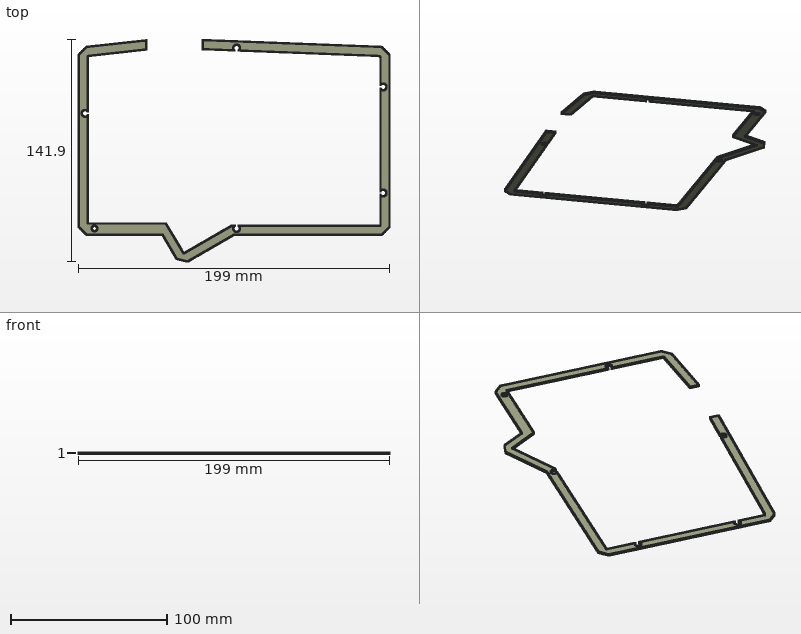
import cadquery as cq

length = 199.0
thickness = 1.0
wall = 6.0
corner_cut = 5.2
shoulder_height = 120.4
side_top = shoulder_height - wall

gap_left = 43.4
gap_right = 79.5
left_bar_top = 124.5
right_bar_top = 124.8

wide_wall = 7.4

bend_outer = [(53.7, 0), (62.7, -15.3), (69.6, -17.1), (99.3, 0)]
bend_inner = [(56.0, wide_wall), (67.3, -11.7), (98.0, wall)]

notch_diameter = 4.2
notch_inset = 4.2
middle_notch_x = 101.0
top_notch_y = 119.5
left_notch_y = 77.8
right_notch_heights = [26.9, 94.7]
hole_diameter = 3.4
hole_x = 10.1
hole_y = notch_inset
inner_corner_radius = 1.0


def frame():
    """Open frame: along the outer edge, then back along the inner edge."""
    outer = [
        (gap_left, left_bar_top),
        (corner_cut, shoulder_height),
        (0, shoulder_height - corner_cut),
        (0, corner_cut),
        (corner_cut, 0),
        *bend_outer,
        (length - corner_cut, 0),
        (length, corner_cut),
        (length, shoulder_height - corner_cut),
        (length - corner_cut, shoulder_height),
        (gap_right, right_bar_top),
    ]
    inner = [
        (gap_right, right_bar_top - wall),
        (length - wall, side_top),
        (length - wall, wall),
        *reversed(bend_inner),
        (wall, wide_wall),
        (wall, side_top),
        (gap_left, left_bar_top - wall),
    ]
    body = cq.Workplane("XY").polyline(outer + inner).close().extrude(thickness)
    corner = cq.selectors.NearestToPointSelector((length - wall, side_top, thickness / 2))
    return body.edges("|Z").edges(corner).fillet(inner_corner_radius)


def round_cutters(centres, diameter):
    """Cylinders through the full thickness at the given centres."""
    return cq.Workplane("XY").pushPoints(centres).circle(diameter / 2).extrude(thickness)


notch_centres = [
    (notch_inset, left_notch_y),
    (middle_notch_x, top_notch_y),
    (middle_notch_x, notch_inset),
]
notch_centres += [(length - notch_inset, height) for height in right_notch_heights]

result = (
    frame()
    .cut(round_cutters(notch_centres, notch_diameter))
    .cut(round_cutters([(hole_x, hole_y)], hole_diameter))
)